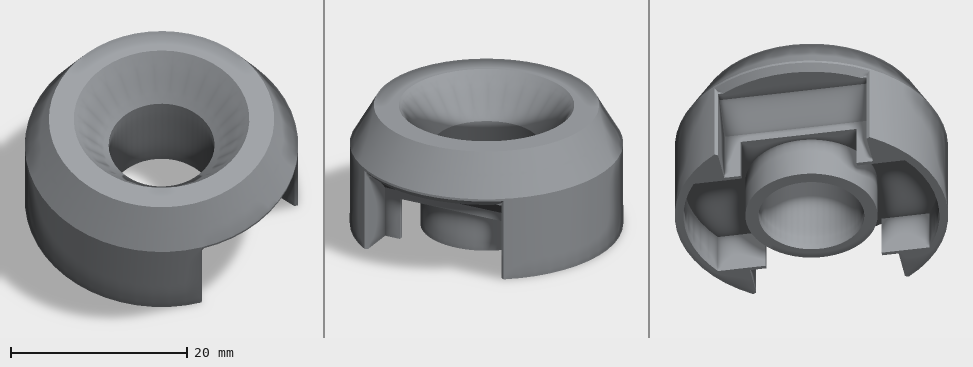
import cadquery as cq

outer_radius = 15.5
height = 14.72
rim_height = 10.0
top_radius = 12.77
countersink_radius = 9.95
bore_radius = 12.0 / 2
tube_radius = 15.0 / 2

recess_half_width = 8.55
recess_ceiling = 9.0
recess_floor_x = 8.37
ramp_bottom = 6.0
side_bevel_width = 0.37
side_bevel_depth = 0.22
ceiling_bevel = 0.75

panel_thickness = 0.45
window_half_width = 6.65
cavity_height = 5.0
cavity_radius = 14.5


def make_body():
    """Revolved ring with a conical shoulder, a countersink and a bore."""
    profile = [
        (bore_radius, 0),
        (outer_radius, 0),
        (outer_radius, rim_height),
        (top_radius, height),
        (countersink_radius, height),
        (bore_radius, rim_height),
    ]
    return cq.Workplane("XZ").polyline(profile).close().revolve(360, (0, 0), (0, 1))


def make_cavity():
    """Underside pocket around the tube, with windows through both panels."""
    panel_back_x = recess_floor_x - panel_thickness
    pocket = cq.Workplane("XY").circle(cavity_radius).extrude(cavity_height)
    limit = cq.Workplane("XY").box(
        2 * panel_back_x, 2 * outer_radius, cavity_height, centered=(True, True, False)
    )
    windows = cq.Workplane("XY").box(
        2 * recess_floor_x, 2 * window_half_width, cavity_height, centered=(True, True, False)
    )
    tube = cq.Workplane("XY").circle(tube_radius).extrude(cavity_height)
    return pocket.intersect(limit).union(windows).cut(tube)


def make_recess():
    """Recess on the +X side, with a 45 degree ramp and bevelled mouth."""
    ramp_end_x = recess_floor_x + recess_ceiling - ramp_bottom
    side_profile = [
        (recess_floor_x, 0),
        (outer_radius, 0),
        (outer_radius, recess_ceiling),
        (ramp_end_x, recess_ceiling),
        (recess_floor_x, ramp_bottom),
    ]
    recess = (
        cq.Workplane("XZ").polyline(side_profile).close().extrude(recess_half_width, both=True)
    )

    mouth_half_width = recess_half_width + side_bevel_width
    mouth_x = (outer_radius**2 - mouth_half_width**2) ** 0.5
    bevel_outline = [
        (mouth_x - side_bevel_depth, -recess_half_width),
        (mouth_x, -mouth_half_width),
        (outer_radius, -mouth_half_width),
        (outer_radius, mouth_half_width),
        (mouth_x, mouth_half_width),
        (mouth_x - side_bevel_depth, recess_half_width),
    ]
    mouth_top = recess_ceiling + ceiling_bevel
    side_bevels = cq.Workplane("XY").polyline(bevel_outline).close().extrude(mouth_top)

    cone_profile = [
        (0, 0),
        (outer_radius, 0),
        (outer_radius, mouth_top),
        (outer_radius - ceiling_bevel, recess_ceiling),
        (0, recess_ceiling),
    ]
    headroom = (
        cq.Workplane("XZ")
        .polyline(cone_profile)
        .close()
        .revolve(360, (0, 0), (0, 1))
    )
    return recess.union(side_bevels.intersect(headroom))


recess = make_recess()
result = make_body().cut(make_cavity()).cut(recess).cut(recess.mirror("YZ"))